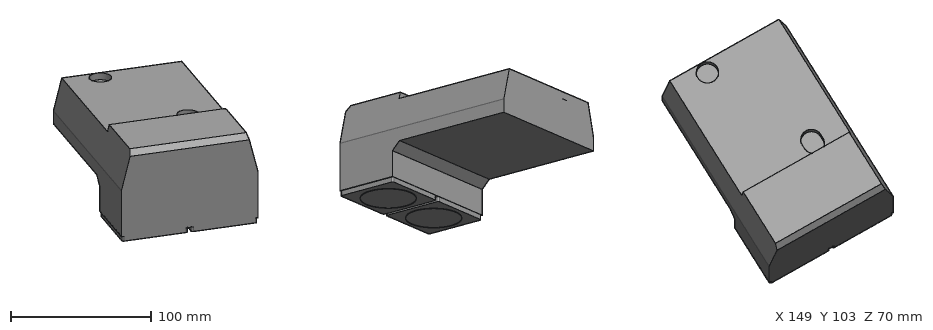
import cadquery as cq

length = 149.0
width = 103.0
height = 70.0

deck_height = 64.8
step_x = 100.1
arm_bottom = 30.0
foot_x = 101.2
foot_bottom = 4.2
gusset_length = 6.4
gusset_height = 6.3
top_chamfer_length = 3.9
top_chamfer_height = 4.2

slope_start = 40.1
top_width = 87.8

round_recess_diameter = 16.0
recess_depth = 5.2
recess_y = 18.9
slot_width = 15.3
round_recess_x = 8.3
slot_x = 91.2
slot_length = 18.5

pad_inset = 0.1
pad_length = length - foot_x - pad_inset
pad_width = 49.3
pad_gap = 2.8
pad_corner_radius = 1.27
disc_diameter = 40.1
disc_height = 0.5


def make_body():
    """Side profile limited to the cross-section with tapered sides."""
    profile = (
        cq.Workplane("XZ")
        .moveTo(0, arm_bottom)
        .lineTo(foot_x - gusset_length, arm_bottom)
        .lineTo(foot_x, arm_bottom - gusset_height)
        .lineTo(foot_x, foot_bottom)
        .lineTo(length, foot_bottom)
        .lineTo(length, height - top_chamfer_height)
        .lineTo(length - top_chamfer_length, height)
        .lineTo(step_x, height)
        .lineTo(step_x, deck_height)
        .lineTo(0, deck_height)
        .close()
        .extrude(width / 2, both=True)
    )
    cross_section = (
        cq.Workplane("YZ")
        .moveTo(-width / 2, 0)
        .lineTo(width / 2, 0)
        .lineTo(width / 2, slope_start)
        .lineTo(top_width / 2, height)
        .lineTo(-top_width / 2, height)
        .lineTo(-width / 2, slope_start)
        .close()
        .extrude(length)
    )
    return profile.intersect(cross_section)


def make_recesses():
    """Round and slotted recesses; the slot end reaches just under the step."""
    floor = cq.Workplane("XY").workplane(offset=deck_height - recess_depth)
    round_recess = (
        floor.center(round_recess_x, -recess_y)
        .circle(round_recess_diameter / 2)
        .extrude(recess_depth)
    )
    slot = (
        floor.center(slot_x, recess_y)
        .slot2D(slot_length, slot_width)
        .extrude(recess_depth)
    )
    return round_recess.union(slot)


def make_pad(center_y):
    """Rounded pad with its disc, reaching down to Z = 0."""
    center_x = length - pad_length / 2
    pad = (
        cq.Workplane("XY")
        .workplane(offset=disc_height)
        .center(center_x, center_y)
        .rect(pad_length, pad_width)
        .extrude(foot_bottom - disc_height)
        .edges("|Z")
        .fillet(pad_corner_radius)
    )
    disc = (
        cq.Workplane("XY")
        .center(center_x, center_y)
        .circle(disc_diameter / 2)
        .extrude(disc_height)
    )
    return pad.union(disc)


result = make_body().cut(make_recesses())
for side in (-1, 1):
    result = result.union(make_pad(side * (pad_width + pad_gap) / 2))